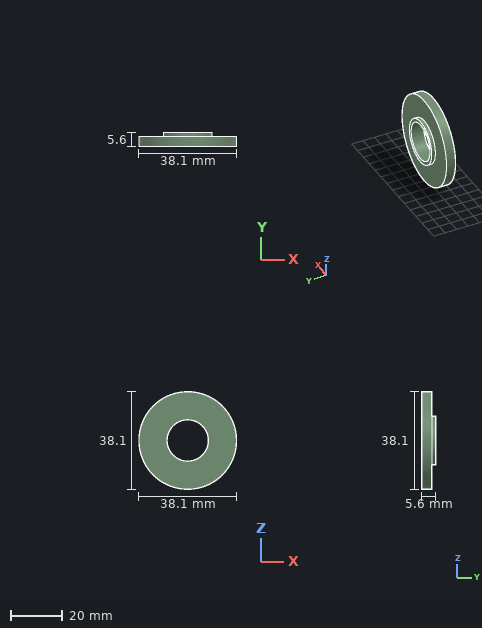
import cadquery as cq

flange_diameter = 38.1
flange_thickness = 4.0
boss_diameter = 19.05
boss_height = 1.6
bore_diameter = 16

total_thickness = flange_thickness + boss_height


def disc(diameter, length):
    """Cylinder along +Y, starting at the flat front face (Y = 0)."""
    return cq.Workplane("XZ").circle(diameter / 2).extrude(-length)


flange = disc(flange_diameter, flange_thickness)
boss = disc(boss_diameter, total_thickness)

bore = disc(bore_diameter, total_thickness)

result = flange.union(boss).cut(bore)